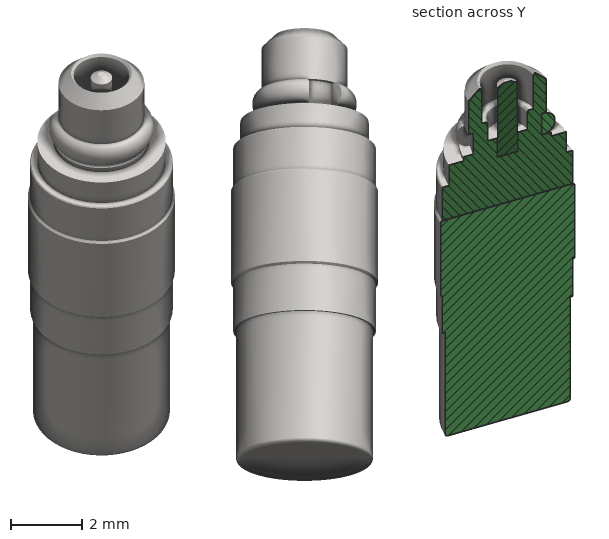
import cadquery as cq
import math


total_length = 12.44
tail_top = 3.82
grip_bottom = 5.18
rear_top = 7.98
collar_top = 9.2
shoulder_top = 9.95
flange_top = 10.1
groove_top = 10.85
nose_chamfer = 0.35

tail_radius = 1.92
collar_radius = 2.0
grip_radius = 2.06
shoulder_radius = 1.8
flange_radius = 1.35
nose_radius = 1.2
groove_radius = 1.05

tail_fillet = 0.1
grip_chamfer = grip_radius - collar_radius
collar_chamfer = 0.03

bore_radius = 0.78
bore_lead_in = nose_radius - nose_chamfer - bore_radius
bore_depth = 1.3
inner_bore_radius = 0.6
inner_bore_lead_in = 0.06
inner_bore_depth = 0.7
ledge_z = total_length - bore_depth
floor_z = ledge_z - inner_bore_depth

pin_radius = 0.3
pin_tip_radius = 0.1
pin_tip_z = total_length - 0.04
pin_cone_height = 0.12
pin_embed = 0.7
pin_bottom = floor_z - pin_embed

ring_outer_radius = 1.46
ring_gap_angle = 40
ring_flat = 0.05


def turn(profile, angle=360):
    """Revolve a closed (radius, z) profile about the Z axis."""
    return profile.close().revolve(angle, (0, 0, 0), (0, 1, 0))


def disc(radius, bottom, top):
    """Solid cylinder on the Z axis between two heights."""
    return cq.Workplane("XY").workplane(offset=bottom).circle(radius).extrude(top - bottom)


def make_rear_body():
    tail = disc(tail_radius, 0, tail_top)
    tail = tail.faces("<Z").edges().fillet(tail_fillet)
    band = disc(collar_radius, tail_top, grip_bottom)
    grip = disc(grip_radius, grip_bottom, rear_top)
    grip = grip.faces("<Z or >Z").edges().chamfer(grip_chamfer)
    return tail.union(band).union(grip)


def make_housing():
    profile = (
        cq.Workplane("XZ")
        .moveTo(0, rear_top)
        .lineTo(collar_radius, rear_top)
        .lineTo(collar_radius, collar_top - collar_chamfer)
        .lineTo(collar_radius - collar_chamfer, collar_top)
        .lineTo(shoulder_radius, collar_top)
        .lineTo(shoulder_radius, shoulder_top)
        .lineTo(flange_radius, shoulder_top)
        .lineTo(flange_radius, flange_top)
        .lineTo(groove_radius, flange_top)
        .lineTo(groove_radius, groove_top)
        .lineTo(nose_radius, groove_top)
        .lineTo(nose_radius, total_length - nose_chamfer)
        .lineTo(nose_radius - nose_chamfer, total_length)
        .lineTo(bore_radius, total_length - bore_lead_in)
        .lineTo(bore_radius, ledge_z)
        .lineTo(inner_bore_radius + inner_bore_lead_in, ledge_z)
        .lineTo(inner_bore_radius, ledge_z - inner_bore_lead_in)
        .lineTo(inner_bore_radius, floor_z)
        .lineTo(pin_radius, floor_z)
        .lineTo(pin_radius, pin_bottom)
        .lineTo(0, pin_bottom)
    )
    return turn(profile)


def make_pin():
    profile = (
        cq.Workplane("XZ")
        .moveTo(0, pin_bottom)
        .lineTo(pin_radius, pin_bottom)
        .lineTo(pin_radius, pin_tip_z - pin_cone_height)
        .lineTo(pin_tip_radius, pin_tip_z)
        .lineTo(0, pin_tip_z)
    )
    return turn(profile)


def bulge_midpoint(bulge, height, flat_z, side):
    """Point halfway along a bulge arc; side is +1 above the flat and -1 below it."""
    arc_radius = (bulge**2 + height**2) / (2 * bulge)
    half_angle = math.asin(height / arc_radius) / 2
    radius = ring_outer_radius - arc_radius * (1 - math.cos(half_angle))
    return (radius, flat_z + side * arc_radius * math.sin(half_angle))


def make_snap_ring():
    middle_z = (flange_top + groove_top) / 2
    flat_bottom = middle_z - ring_flat / 2
    flat_top = middle_z + ring_flat / 2

    bulge = ring_outer_radius - nose_radius
    arc_height = groove_top - flat_top
    profile = (
        cq.Workplane("XZ")
        .moveTo(groove_radius, flange_top)
        .lineTo(nose_radius, flange_top)
        .threePointArc(bulge_midpoint(bulge, arc_height, flat_bottom, -1), (ring_outer_radius, flat_bottom))
        .lineTo(ring_outer_radius, flat_top)
        .threePointArc(bulge_midpoint(bulge, arc_height, flat_top, 1), (nose_radius, groove_top))
        .lineTo(groove_radius, groove_top)
    )
    ring = turn(profile, 360 - ring_gap_angle)
    return ring.rotate((0, 0, 0), (0, 0, 1), 180 + ring_gap_angle / 2)


rear_body = make_rear_body()
housing = make_housing()
pin = make_pin()
snap_ring = make_snap_ring()

result = cq.Compound.makeCompound([rear_body.val(), housing.val(), pin.val(), snap_ring.val()])